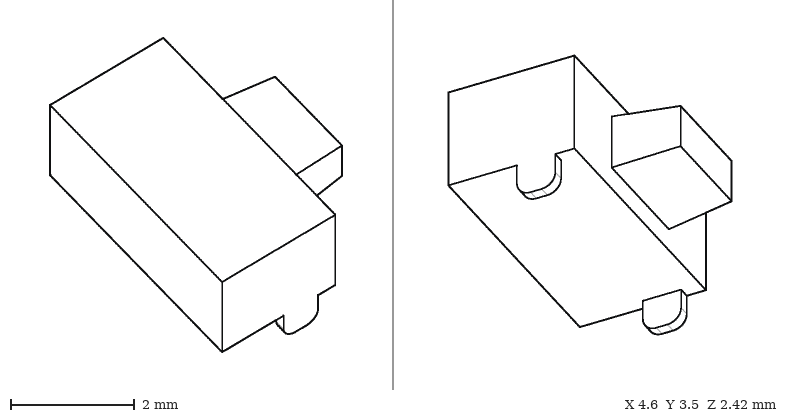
import cadquery as cq
import math

body_width = 4.6
body_depth = 2.3
body_height = 1.815

button_width = 2.0
button_height = 1.0
button_length = 1.2
button_draft = 5.0

pin_thickness = 0.202
pin_width = 0.7
pin_length = 0.603
pin_corner_radius = 0.25
pin_setback = 0.35

button_face_y = body_depth / 2
pin_center_y = button_face_y - pin_setback - pin_width / 2


def make_body():
    return cq.Workplane("XY").box(body_width, body_depth, body_height, centered=(True, True, False))


def make_button():
    taper = button_length * math.tan(math.radians(button_draft))
    base_plane = cq.Plane(origin=(0, button_face_y, body_height / 2), xDir=(1, 0, 0), normal=(0, 1, 0))
    return (
        cq.Workplane(base_plane)
        .rect(button_width, button_height)
        .workplane(offset=button_length)
        .rect(button_width - 2 * taper, button_height - 2 * taper)
        .loft(ruled=True)
    )


def make_pin(side):
    center_x = side * (body_width - pin_thickness) / 2
    return (
        cq.Workplane("XY")
        .box(pin_thickness, pin_width, pin_length)
        .edges("|X and <Z")
        .fillet(pin_corner_radius)
        .translate((center_x, pin_center_y, -pin_length / 2))
    )


result = make_body().union(make_button())
for side in (-1, 1):
    result = result.union(make_pin(side))